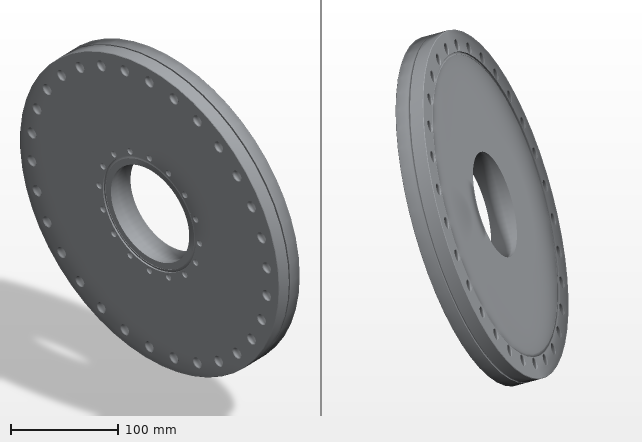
import cadquery as cq
import math

disc_diameter = 336.5
disc_thickness = 28.3
edge_chamfer = 0.5
front_face = -disc_thickness / 2
back_face = disc_thickness / 2

rim_groove_width = 1.7
rim_groove_depth = 2.7

bore_diameter = 101.5

front_seat_diameter = 120.5
back_seat_diameter = 294.2
seat_wall_depth = 1.7
knife_slope_width = 2.7
knife_tip_depth = 0.7
seat_floor_depth = 1.0

bolt_hole_diameter = 10.5
bolt_hole_chamfer = 0.5
bolt_circle_diameter = 306.3
bolt_hole_count = 30

tapped_hole_diameter = 6.7
tapped_circle_diameter = 130.3
tapped_hole_count = 16
tapped_hole_depth = 16.8
drill_point_angle = 118.0


def revolve_profile(points):
    """Revolve (radius, y) points around the disc axis."""
    return cq.Workplane("XY").polyline(points).close().revolve(360, (0, 0, 0), (0, 1, 0))


def ring_positions(count, circle_diameter):
    """(x, z) positions evenly spaced on a circle, the first one at the top."""
    radius = circle_diameter / 2
    angles = [math.radians(90 + 360 * i / count) for i in range(count)]
    return [(radius * math.cos(a), radius * math.sin(a)) for a in angles]


def make_disc():
    disc = cq.Workplane("XZ").circle(disc_diameter / 2).extrude(disc_thickness / 2, both=True)
    return disc.faces("<Y or >Y").edges().chamfer(edge_chamfer)


def make_rim_groove():
    outer_radius = disc_diameter / 2
    inner_radius = outer_radius - rim_groove_depth
    half_width = rim_groove_width / 2
    return revolve_profile([
        (inner_radius, -half_width),
        (outer_radius, -half_width),
        (outer_radius, half_width),
        (inner_radius, half_width),
    ])


def make_bore():
    return cq.Workplane("XZ").circle(bore_diameter / 2).extrude(disc_thickness, both=True)


def make_seal_seat(seat_diameter, face, inward):
    """Seat sunk into a face; its slope rises from the outer wall to a knife tip, then drops to a flat floor.

    inward is the Y direction (+1 or -1) from the face into the disc.
    """
    seat_radius = seat_diameter / 2
    knife_radius = seat_radius - knife_slope_width
    return revolve_profile([
        (0, face),
        (seat_radius, face),
        (seat_radius, face + inward * seat_wall_depth),
        (knife_radius, face + inward * knife_tip_depth),
        (knife_radius, face + inward * seat_floor_depth),
        (0, face + inward * seat_floor_depth),
    ])


def copies_on_ring(cutter, count, circle_diameter):
    """Copies of a cutter on the disc axis, moved out onto a ring."""
    copies = cq.Workplane("XY")
    for x, z in ring_positions(count, circle_diameter):
        copies = copies.add(cutter.translate((x, 0, z)))
    return copies.combine()


def make_bolt_holes():
    radius = bolt_hole_diameter / 2
    mouth_radius = radius + bolt_hole_chamfer
    cutter = revolve_profile([
        (0, front_face),
        (mouth_radius, front_face),
        (radius, front_face + bolt_hole_chamfer),
        (radius, back_face - bolt_hole_chamfer),
        (mouth_radius, back_face),
        (0, back_face),
    ])
    return copies_on_ring(cutter, bolt_hole_count, bolt_circle_diameter)


def make_tapped_holes():
    radius = tapped_hole_diameter / 2
    bottom = front_face + tapped_hole_depth
    point_length = radius / math.tan(math.radians(drill_point_angle / 2))
    drill = revolve_profile([
        (0, front_face),
        (radius, front_face),
        (radius, bottom),
        (0, bottom + point_length),
    ])
    return copies_on_ring(drill, tapped_hole_count, tapped_circle_diameter)


result = (
    make_disc()
    .cut(make_rim_groove())
    .cut(make_bore())
    .cut(make_seal_seat(front_seat_diameter, front_face, 1))
    .cut(make_seal_seat(back_seat_diameter, back_face, -1))
    .cut(make_bolt_holes())
    .cut(make_tapped_holes())
)